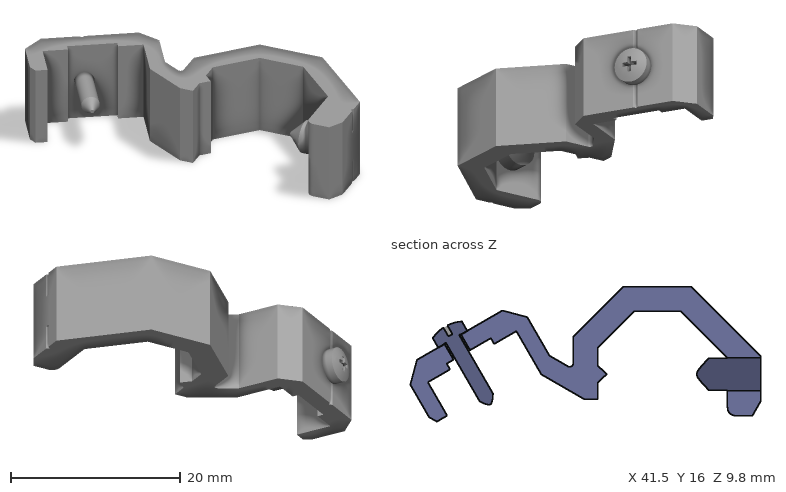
import cadquery as cq
import math

height = 9.8
mid_z = height / 2
drill_groove_depth = 0.3

clip_tilt = 30.0
clip_left = 2.2
clip_width = 16.03
clip_right = clip_left + clip_width
clip_top = 5.98
clip_wall = 2.0
crossbar_thickness = 3.0
crossbar_bottom = clip_top - crossbar_thickness
clip_corner = 2.15
free_leg_end = -1.58
free_leg_chamfer = 0.55
leg_chamfer_ratio = math.sqrt(3)
joined_leg_outer_end = -1.45
joined_leg_inner_end = -2.9
recess_width = 5.98
recess_depth = 0.8
screw_u = 9.25

arch_top = 16.03
arch_left = 19.25
arch_right = 41.5
arch_wall = 3.0
pin_leg_thickness = 4.0
roof_left = 25.25
roof_right = 33.3
pin_leg_bottom = 0.7
pin_leg_chamfer = 1.0
pin_leg_round = 1.0
short_leg_bottom = 2.65
neck_round = 0.37

pin_y = 5.65
ridge_half_width = 1.0
ridge_height = 1.05

head_diameter = 4.2
head_height = 1.3
dome_height = 0.5
shank_diameter = 2.2
screw_hole_diameter = 2.5
shank_end = -2.05
screw_tip = -3.6
tip_diameter = 0.45
cross_length = 1.85
cross_width = 0.5
cross_depth = 1.25

pin_diameter = 4.0
pin_tip_x = 33.55
pin_cone_x = 35.35


def from_clip(u, v):
    """Convert a point of the clip frame to X and Y."""
    angle = math.radians(clip_tilt)
    return (
        u * math.cos(angle) - v * math.sin(angle),
        u * math.sin(angle) + v * math.cos(angle),
    )


def clip_to_world(body):
    """Turn a body built in the clip frame into its place."""
    return body.rotate((0, 0, 0), (0, 0, 1), clip_tilt)


def bracket_outline():
    arm_slope = math.tan(math.radians(clip_tilt))
    arm_top = from_clip(clip_right, joined_leg_outer_end)
    arm_bottom = from_clip(clip_right - clip_wall, joined_leg_inner_end)
    neck_y = arm_top[1] - (arch_left - arm_top[0]) * arm_slope
    short_leg_x = arm_bottom[0] + (arm_bottom[1] - short_leg_bottom) / arm_slope

    inner_left = arch_left + arch_wall
    inner_right = arch_right - pin_leg_thickness
    inner_top = arch_top - arch_wall
    roof_inset = arch_wall * math.tan(math.pi / 8)
    inner_roof_left = roof_left + roof_inset
    inner_roof_right = roof_right - roof_inset

    recess_left = clip_left + (clip_width - recess_width) / 2
    recess_right = recess_left + recess_width
    recess_top = crossbar_bottom + recess_depth

    arch = [
        (arch_left, neck_y),
        (arch_left, arch_top - (roof_left - arch_left)),
        (roof_left, arch_top),
        (roof_right, arch_top),
        (arch_right, arch_top - (arch_right - roof_right)),
        (arch_right, pin_leg_bottom + pin_leg_chamfer * leg_chamfer_ratio),
        (arch_right - pin_leg_chamfer, pin_leg_bottom),
        (inner_right, pin_leg_bottom),
        (inner_right, inner_top - (inner_right - inner_roof_right)),
        (inner_roof_right, inner_top),
        (inner_roof_left, inner_top),
        (inner_left, inner_top - (inner_roof_left - inner_left)),
        (inner_left, pin_y + ridge_half_width),
        (inner_left + ridge_height, pin_y),
        (inner_left, pin_y - ridge_half_width),
        (inner_left, short_leg_bottom),
        (short_leg_x, short_leg_bottom),
    ]
    clip = [
        (clip_right - clip_wall, joined_leg_inner_end),
        (clip_right - clip_wall, crossbar_bottom),
        (recess_right, crossbar_bottom),
        (recess_right, recess_top),
        (recess_left, recess_top),
        (recess_left, crossbar_bottom),
        (clip_left + clip_wall, crossbar_bottom),
        (clip_left + clip_wall, free_leg_end),
        (clip_left + free_leg_chamfer, free_leg_end),
        (clip_left, free_leg_end + free_leg_chamfer * leg_chamfer_ratio),
        (clip_left, clip_top - clip_corner),
        (clip_left + clip_corner, clip_top),
        (clip_right - clip_corner, clip_top),
        (clip_right, clip_top - clip_corner),
        (clip_right, joined_leg_outer_end),
    ]
    outline = arch + [from_clip(u, v) for u, v in clip]
    return outline, (arch_left, neck_y), (inner_right, pin_leg_bottom)


def round_upright_edge(body, corner, radius):
    edge = body.edges(cq.selectors.NearestToPointSelector((*corner, mid_z)))
    return edge.fillet(radius)


def drill_groove(x, y):
    """Diamond bar whose inner half cuts a V groove into a face through (x, y)."""
    return (
        cq.Workplane("XY")
        .center(x, y)
        .polyline([
            (drill_groove_depth, 0),
            (0, drill_groove_depth),
            (-drill_groove_depth, 0),
            (0, -drill_groove_depth),
        ])
        .close()
        .extrude(height)
    )


def pin_blank():
    """Plain cylinder of the pin, from its cone to the outer face of the bracket."""
    return (
        cq.Workplane("YZ", origin=(pin_cone_x, pin_y, mid_z))
        .circle(pin_diameter / 2)
        .extrude(arch_right - pin_cone_x)
    )


def make_bracket():
    outline, neck_corner, pin_leg_corner = bracket_outline()
    body = cq.Workplane("XY").polyline(outline).close().extrude(height)
    body = round_upright_edge(body, neck_corner, neck_round)
    body = round_upright_edge(body, pin_leg_corner, pin_leg_round)

    screw_hole = (
        cq.Workplane("XZ", origin=(screw_u, clip_top, mid_z))
        .circle(screw_hole_diameter / 2)
        .extrude(crossbar_thickness)
    )
    body = body.cut(clip_to_world(screw_hole))
    body = body.cut(clip_to_world(drill_groove(screw_u, clip_top)))
    body = body.cut(drill_groove(arch_right, pin_y))
    return body.cut(pin_blank())


def make_screw():
    """Domed cross-head screw, seated on the crossbar."""
    head_radius = head_diameter / 2
    rim = clip_top + head_height
    dome_top = rim + dome_height
    dome_radius = (head_radius**2 + dome_height**2) / (2 * dome_height)
    half_way = head_radius / 2
    dome_middle = dome_top - dome_radius + math.sqrt(dome_radius**2 - half_way**2)

    body = (
        cq.Workplane("XY")
        .moveTo(0, screw_tip)
        .lineTo(tip_diameter / 2, screw_tip)
        .lineTo(shank_diameter / 2, shank_end)
        .lineTo(shank_diameter / 2, clip_top)
        .lineTo(head_radius, clip_top)
        .lineTo(head_radius, rim)
        .threePointArc((half_way, dome_middle), (0, dome_top))
        .close()
        .revolve(360, (0, 0, 0), (0, 1, 0))
    )
    cross = (
        cq.Workplane("XZ", origin=(0, dome_top, 0))
        .rect(cross_length, cross_width)
        .extrude(cross_depth)
        .union(
            cq.Workplane("XZ", origin=(0, dome_top, 0))
            .rect(cross_width, cross_length)
            .extrude(cross_depth)
        )
    )
    return clip_to_world(body.cut(cross).translate((screw_u, 0, mid_z)))


def make_pin():
    """Pointed pin, flush with the outer face of the bracket."""
    point = (
        cq.Workplane("YZ", origin=(pin_tip_x, pin_y, mid_z))
        .circle(tip_diameter / 2)
        .workplane(offset=pin_cone_x - pin_tip_x)
        .circle(pin_diameter / 2)
        .loft()
    )
    return pin_blank().union(point)


bracket = make_bracket()
screw = make_screw()
pin = make_pin()

result = cq.Compound.makeCompound([bracket.val(), screw.val(), pin.val()])